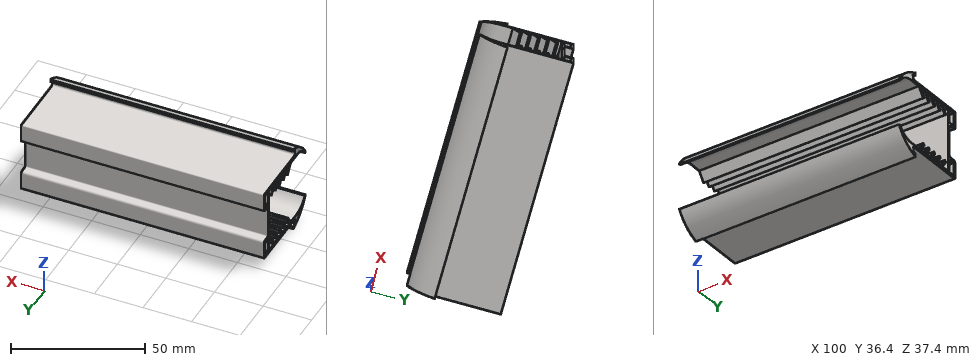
import cadquery as cq
import math

length = 100.0
depth = 36.4
half_height = 18.7

wall = 1.0
flange_top = 14.9
flange_underside = flange_top - wall
web_back = 3.6
web_front = web_back + wall

rail_bottom = 7.0
rail_floor = 1.2
rail_top_radius = 0.5
rail_bottom_radius = 1.0
web_corner_radius = 0.5

lip_back = 25.6
lip_back_bottom = 17.6
lip_neck = 27.1
lip_neck_top = 17.1
lip_neck_radius = 0.7
lip_front_bottom = 10.0
lip_arc_start = (27.1, 18.1)
lip_crown = (32.2, 15.1)
lip_inner_start = 27.4
lip_inner_middle = (32.5, 12.9)
lip_edge_thickness = 0.7

rib_count = 5
rib_pitch = 3.5
rib_thickness = 0.9
rib_root_depth = 9.0
rib_tip_depth = 6.4
rib_tip_height = 10.3

back_y = depth / 2


def profile_point(from_back, height):
    """Point of the YZ section from its distance forward of the back face and its height."""
    return (back_y - from_back, height)


def extrude_outline(points):
    """Extrude a straight-sided section outline along the whole length."""
    section = [profile_point(*point) for point in points]
    return cq.Workplane("YZ").polyline(section).close().extrude(length)


def block(back, front, bottom, top):
    """Full-length rectangular bar."""
    return extrude_outline([(back, bottom), (front, bottom), (front, top), (back, top)])


def round_edge(body, from_back, height, radius):
    """Fillet the lengthwise edge passing through one section point."""
    y, z = profile_point(from_back, height)
    edge = body.edges(cq.selectors.NearestToPointSelector((length / 2, y, z)))
    return body.newObject(edge.vals()).fillet(radius)


def make_lip():
    """Lip with curved outer and inner faces, joined to the flange by a neck."""
    return (
        cq.Workplane("YZ")
        .moveTo(*profile_point(lip_neck, flange_underside))
        .lineTo(*profile_point(lip_neck, lip_neck_top))
        .lineTo(*profile_point(lip_back, lip_back_bottom))
        .lineTo(*profile_point(lip_back, half_height))
        .lineTo(*profile_point(*lip_arc_start))
        .threePointArc(profile_point(*lip_crown), profile_point(depth, lip_front_bottom))
        .lineTo(*profile_point(depth - lip_edge_thickness, lip_front_bottom))
        .threePointArc(
            profile_point(*lip_inner_middle),
            profile_point(lip_inner_start, flange_underside),
        )
        .close()
        .extrude(length)
    )


def make_rib(offset):
    """Slanted rib with a square tip, rooted inside the flange."""
    run = rib_root_depth - rib_tip_depth
    rise = flange_underside - rib_tip_height
    slant = math.hypot(run, rise)
    side_depth = rib_thickness / 2 * rise / slant
    side_height = rib_thickness / 2 * run / slant
    root_height = flange_underside + wall / 2
    root_depth = rib_tip_depth + run * (root_height - rib_tip_height) / rise
    return extrude_outline([
        (offset + rib_tip_depth - side_depth, rib_tip_height + side_height),
        (offset + rib_tip_depth + side_depth, rib_tip_height - side_height),
        (offset + root_depth + side_depth, root_height - side_height),
        (offset + root_depth - side_depth, root_height + side_height),
    ])


def make_upper_half():
    """Web, back rail, flange, ribs and lip above the XY plane."""
    body = block(web_back, web_front, 0, flange_top)
    body = body.union(block(0, web_front, rail_bottom, flange_top))
    body = body.union(block(0, lip_inner_start, flange_underside, flange_top))
    body = body.union(make_lip())
    body = round_edge(body, 0, flange_top, rail_top_radius)
    body = round_edge(body, 0, rail_bottom, rail_bottom_radius)
    body = round_edge(body, web_back, rail_bottom, web_corner_radius)
    body = round_edge(body, lip_neck, flange_top, lip_neck_radius)
    body = body.cut(block(wall, web_back, rail_bottom + rail_floor, flange_underside))
    for index in range(rib_count):
        body = body.union(make_rib(index * rib_pitch))
    return body


upper_half = make_upper_half()
result = upper_half.union(upper_half.mirror("XY")).translate((-length / 2, 0, 0))